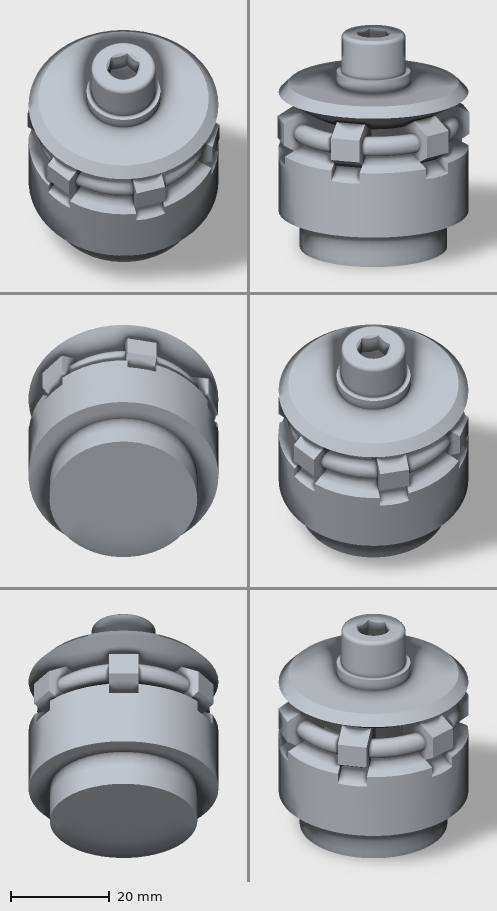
import cadquery as cq
import math

TOTAL_HEIGHT = 45.1
BASE_TOP = 7.5
BODY_EDGE = 21.05
DISC_EDGE = 32.6
WASHER_TOP = 37.05

BASE_RADIUS = 14.97
BODY_RADIUS = 19.25
NECK_RADIUS = 11.4
WASHER_RADIUS = 7.5
SCREW_RADIUS = 6.5

DISC_CHAMFER = 2.0
SCREW_FILLET = 0.8
CONE_SLOPE = math.tan(math.radians(30))

JAW_COUNT = 6
JAW_WIDTH = 6.0
JAW_FACE_HEIGHT = 4.6
JAW_INNER_RADIUS = 9.0
SLOT_DEPTH = 2.3
SLOT_OVERRUN = 2.25
JAW_MIDDLE = BODY_EDGE + 2 * SLOT_DEPTH

RING_RADIUS = 15.5
RING_WIRE_RADIUS = 2.0

SOCKET_FLATS = 6.0
SOCKET_CORNER_RADIUS = SOCKET_FLATS / math.sqrt(3)
SOCKET_DEPTH = 4.0
SOCKET_TIP_DEPTH = 2.0
MOUTH_SLOPE = 1.0


def cone_drop(outer_radius, inner_radius):
    """Height change along a 30 degree cone between two radii."""
    return (outer_radius - inner_radius) * CONE_SLOPE


def turned_body():
    """Base, body, neck, clamping disc, washer and screw as one revolved profile."""
    neck_height = cone_drop(BODY_RADIUS, NECK_RADIUS)
    disc_top = DISC_EDGE + DISC_CHAMFER
    profile = (
        cq.Workplane("XZ")
        .moveTo(0, 0)
        .lineTo(BASE_RADIUS, 0)
        .lineTo(BASE_RADIUS, BASE_TOP)
        .lineTo(BODY_RADIUS, BASE_TOP)
        .lineTo(BODY_RADIUS, BODY_EDGE)
        .lineTo(NECK_RADIUS, BODY_EDGE + neck_height)
        .lineTo(NECK_RADIUS, DISC_EDGE - neck_height)
        .lineTo(BODY_RADIUS, DISC_EDGE)
        .lineTo(BODY_RADIUS - DISC_CHAMFER, disc_top)
        .lineTo(WASHER_RADIUS, disc_top)
        .lineTo(WASHER_RADIUS, WASHER_TOP)
        .lineTo(SCREW_RADIUS, WASHER_TOP)
        .lineTo(SCREW_RADIUS, TOTAL_HEIGHT)
        .lineTo(0, TOTAL_HEIGHT)
        .close()
    )
    turned = profile.revolve(360, (0, 0, 0), (0, 1, 0))
    return turned.faces(">Z").edges().fillet(SCREW_FILLET)


def radial_bar(points):
    """Bar of jaw width with the given (radius, height) outline, pointing along +Y."""
    return cq.Workplane("YZ").polyline(points).close().extrude(JAW_WIDTH / 2, both=True)


def slot_cutter():
    """Slot whose floor runs parallel to the body cone."""
    outer = BODY_RADIUS + SLOT_OVERRUN
    inner = NECK_RADIUS
    floor_edge = BODY_EDGE - SLOT_DEPTH
    return radial_bar([
        (outer, floor_edge - cone_drop(outer, BODY_RADIUS)),
        (inner, floor_edge + cone_drop(BODY_RADIUS, inner)),
        (inner, JAW_MIDDLE),
        (outer, JAW_MIDDLE),
    ])


def jaw():
    """V-shaped jaw resting on the slot floor and reaching up under the disc."""
    half_face = JAW_FACE_HEIGHT / 2
    half_ridge = JAW_FACE_HEIGHT
    ridge_radius = BODY_RADIUS - (half_ridge - half_face) / CONE_SLOPE
    half_inner = half_ridge - cone_drop(ridge_radius, JAW_INNER_RADIUS)
    upper = [
        (BODY_RADIUS, JAW_MIDDLE + half_face),
        (ridge_radius, JAW_MIDDLE + half_ridge),
        (JAW_INNER_RADIUS, JAW_MIDDLE + half_inner),
    ]
    lower = [(radius, 2 * JAW_MIDDLE - height) for radius, height in reversed(upper)]
    return radial_bar(upper + lower)


def around_axis(shape):
    """Copies of a shape evenly spaced around Z."""
    return [shape.rotate((0, 0, 0), (0, 0, 1), i * 360 / JAW_COUNT) for i in range(JAW_COUNT)]


def spring_ring():
    """Round-wire ring at mid height of the jaws."""
    ring_centre = cq.Vector(0, 0, JAW_MIDDLE)
    return cq.Workplane(cq.Solid.makeTorus(RING_RADIUS, RING_WIRE_RADIUS, ring_centre))


def hex_socket():
    """Hexagon with a conical bottom through its corners and a countersunk mouth."""
    floor = TOTAL_HEIGHT - SOCKET_DEPTH
    tip_height = floor - SOCKET_TIP_DEPTH
    mouth_depth = SOCKET_CORNER_RADIUS * MOUTH_SLOPE
    hexagon = (
        cq.Workplane("XY", origin=(0, 0, tip_height))
        .polygon(6, 2 * SOCKET_CORNER_RADIUS)
        .extrude(TOTAL_HEIGHT - tip_height)
    )
    drilled_bore = (
        cq.Workplane("XZ")
        .moveTo(0, tip_height)
        .lineTo(SOCKET_CORNER_RADIUS, floor)
        .lineTo(SOCKET_CORNER_RADIUS, TOTAL_HEIGHT)
        .lineTo(0, TOTAL_HEIGHT)
        .close()
        .revolve(360, (0, 0, 0), (0, 1, 0))
    )
    mouth = (
        cq.Workplane("XZ")
        .moveTo(0, TOTAL_HEIGHT - mouth_depth)
        .lineTo(SOCKET_CORNER_RADIUS, TOTAL_HEIGHT)
        .lineTo(0, TOTAL_HEIGHT)
        .close()
        .revolve(360, (0, 0, 0), (0, 1, 0))
    )
    return hexagon.intersect(drilled_bore).union(mouth)


result = turned_body()
for slot in around_axis(slot_cutter()):
    result = result.cut(slot)
for single_jaw in around_axis(jaw()):
    result = result.union(single_jaw)
result = result.union(spring_ring()).cut(hex_socket())